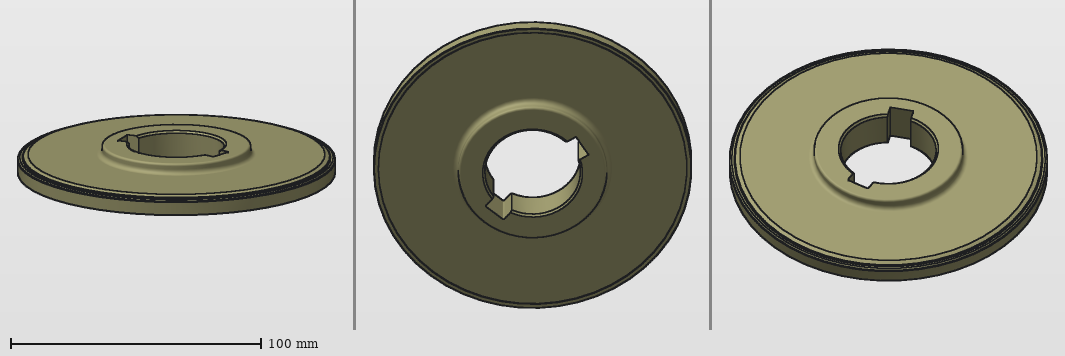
import cadquery as cq

hub_radius = 59.5 / 2
hub_half_height = 15.9 / 2
hub_edge_round = 1.0
web_half_thickness = 3.5
hub_foot_fillet = 2.0

bevel_radii = (59.3, 60.3, 61.2)
bevel_drops = (0.4, 0.8)
seat_radius = 123.2 / 2

rim_radius = 63.5
rim_top = 2.3
rim_bottom = -4.1
rim_slope_width = 0.8
rim_slope_drop = 0.5
rim_corner_width = 0.1
rim_corner_drop = 0.4
rim_lower_chamfer = 0.3

bore_radius = 19.0
bore_chamfer = 0.9
keyway_width = 9.5
straight_keyway_reach = 23.6
straight_keyway_corner = 0.5
angled_keyway_reach = 23.4
angled_keyway_angle = 198.0


def revolve_profile(profile):
    """Turn a closed radius-height profile around the Z axis."""
    return profile.close().revolve(360, (0, 0, 0), (0, 1, 0))


def make_keyway(reach, angle, corner_radius=0.0):
    """Cutter from the axis out to the keyway floor, turned to its angle."""
    cutter = cq.Workplane("XY").box(
        reach, keyway_width, 2 * hub_half_height, centered=(False, True, True)
    )
    if corner_radius > 0:
        cutter = cutter.faces(">X").edges("|Z").fillet(corner_radius)
    return cutter.rotate((0, 0, 0), (0, 0, 1), angle)


def make_wheel():
    """Hub and web turned as one piece, with two keyways in the bore."""
    fillet_radius_end = hub_radius + hub_foot_fillet
    fillet_height_end = web_half_thickness + hub_foot_fillet
    mouth_radius = bore_radius + bore_chamfer
    mouth_height = hub_half_height - bore_chamfer
    hub_top_radius = hub_radius - hub_edge_round
    hub_side_height = hub_half_height - hub_edge_round

    profile = (
        cq.Workplane("XZ")
        .moveTo(bore_radius, -mouth_height)
        .lineTo(mouth_radius, -hub_half_height)
        .lineTo(hub_top_radius, -hub_half_height)
        .tangentArcPoint((hub_radius, -hub_side_height), relative=False)
        .lineTo(hub_radius, -fillet_height_end)
        .tangentArcPoint((fillet_radius_end, -web_half_thickness), relative=False)
        .lineTo(seat_radius, -web_half_thickness)
        .lineTo(seat_radius, rim_top)
        .lineTo(bevel_radii[2], web_half_thickness - bevel_drops[1])
        .lineTo(bevel_radii[1], web_half_thickness - bevel_drops[0])
        .lineTo(bevel_radii[0], web_half_thickness)
        .lineTo(fillet_radius_end, web_half_thickness)
        .tangentArcPoint((hub_radius, fillet_height_end), relative=False)
        .lineTo(hub_radius, hub_side_height)
        .tangentArcPoint((hub_top_radius, hub_half_height), relative=False)
        .lineTo(mouth_radius, hub_half_height)
        .lineTo(bore_radius, mouth_height)
    )
    straight_keyway = make_keyway(straight_keyway_reach, 0, straight_keyway_corner)
    angled_keyway = make_keyway(angled_keyway_reach, angled_keyway_angle)
    return revolve_profile(profile).cut(straight_keyway).cut(angled_keyway)


def make_rim():
    """Ring seated on the cylindrical edge of the web."""
    slope_radius_end = rim_radius - rim_corner_width
    slope_height_end = rim_top - rim_slope_drop
    profile = (
        cq.Workplane("XZ")
        .moveTo(seat_radius, rim_bottom)
        .lineTo(rim_radius - rim_lower_chamfer, rim_bottom)
        .lineTo(rim_radius, rim_bottom + rim_lower_chamfer)
        .lineTo(rim_radius, slope_height_end - rim_corner_drop)
        .lineTo(slope_radius_end, slope_height_end)
        .lineTo(slope_radius_end - rim_slope_width, rim_top)
        .lineTo(seat_radius, rim_top)
    )
    return revolve_profile(profile)


wheel = make_wheel()
rim = make_rim()

result = cq.Compound.makeCompound([wheel.val(), rim.val()])